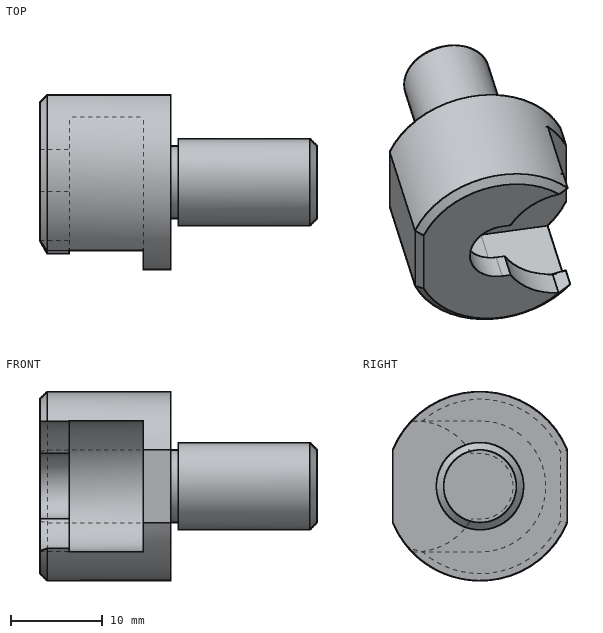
import cadquery as cq
import math

TOTAL_LENGTH = 30.23
EDGE_CHAMFER = 0.8

HEAD_DIAMETER = 20.6375
HEAD_LENGTH = 14.2875
ACROSS_FLATS = 19.05

NECK_DIAMETER = 7.9375
NECK_LENGTH = 0.8
SHANK_DIAMETER = 9.525

LIP_THICKNESS = 3.2
WEB_THICKNESS = 3.02
POCKET_WIDTH = 14.2875

KEYHOLE_WIDTH = 7.14375
FLARE_RADIUS = POCKET_WIDTH / 2
FLARE_CENTER_Y = -FLARE_RADIUS
FLARE_END_Y = -6.3
LOWER_MOUTH_ANGLE = 12.0

OUTSIDE_Y = -HEAD_DIAMETER


def flare_z(y):
    """Half height of the flare arc at the given Y."""
    return math.sqrt(FLARE_RADIUS**2 - (y - FLARE_CENTER_Y) ** 2)


def make_head():
    """Chamfered round bar meeting a slab whose front edges along the flats are chamfered alike."""
    bar = (
        cq.Workplane("YZ")
        .circle(HEAD_DIAMETER / 2)
        .extrude(HEAD_LENGTH)
        .faces("<X")
        .chamfer(EDGE_CHAMFER)
    )
    slab = (
        cq.Workplane("YZ")
        .rect(ACROSS_FLATS, HEAD_DIAMETER)
        .extrude(HEAD_LENGTH)
        .faces("<X")
        .edges("|Z")
        .chamfer(EDGE_CHAMFER)
    )
    return bar.intersect(slab)


def make_neck_and_shank():
    shank_start = HEAD_LENGTH + NECK_LENGTH
    neck = cq.Workplane("YZ", origin=(HEAD_LENGTH, 0, 0)).circle(NECK_DIAMETER / 2).extrude(NECK_LENGTH)
    shank = (
        cq.Workplane("YZ", origin=(shank_start, 0, 0))
        .circle(SHANK_DIAMETER / 2)
        .extrude(TOTAL_LENGTH - shank_start)
        .faces(">X")
        .chamfer(EDGE_CHAMFER)
    )
    return neck.union(shank)


def make_pocket():
    """T-slot pocket: a half round end on the axis with straight walls running out to -Y."""
    half_width = POCKET_WIDTH / 2
    return (
        cq.Workplane("YZ", origin=(LIP_THICKNESS, 0, 0))
        .moveTo(OUTSIDE_Y, half_width)
        .lineTo(0, half_width)
        .threePointArc((half_width, 0), (0, -half_width))
        .lineTo(OUTSIDE_Y, -half_width)
        .close()
        .extrude(HEAD_LENGTH - WEB_THICKNESS - LIP_THICKNESS)
    )


def make_keyhole():
    """Opening through the lip: round end, short straight throat, arc flare and open mouth."""
    half_width = KEYHOLE_WIDTH / 2
    throat_y = FLARE_CENTER_Y + math.sqrt(FLARE_RADIUS**2 - half_width**2)
    flare_mid_y = (throat_y + FLARE_END_Y) / 2
    flare_mid_z = flare_z(flare_mid_y)
    mouth_z = flare_z(FLARE_END_Y)
    lower_rise = (FLARE_END_Y - OUTSIDE_Y) * math.tan(math.radians(LOWER_MOUTH_ANGLE))
    return (
        cq.Workplane("YZ")
        .moveTo(OUTSIDE_Y, mouth_z)
        .lineTo(FLARE_END_Y, mouth_z)
        .threePointArc((flare_mid_y, flare_mid_z), (throat_y, half_width))
        .lineTo(0, half_width)
        .threePointArc((half_width, 0), (0, -half_width))
        .lineTo(throat_y, -half_width)
        .threePointArc((flare_mid_y, -flare_mid_z), (FLARE_END_Y, -mouth_z))
        .lineTo(OUTSIDE_Y, lower_rise - mouth_z)
        .close()
        .extrude(LIP_THICKNESS)
    )


result = make_head().union(make_neck_and_shank()).cut(make_pocket()).cut(make_keyhole())